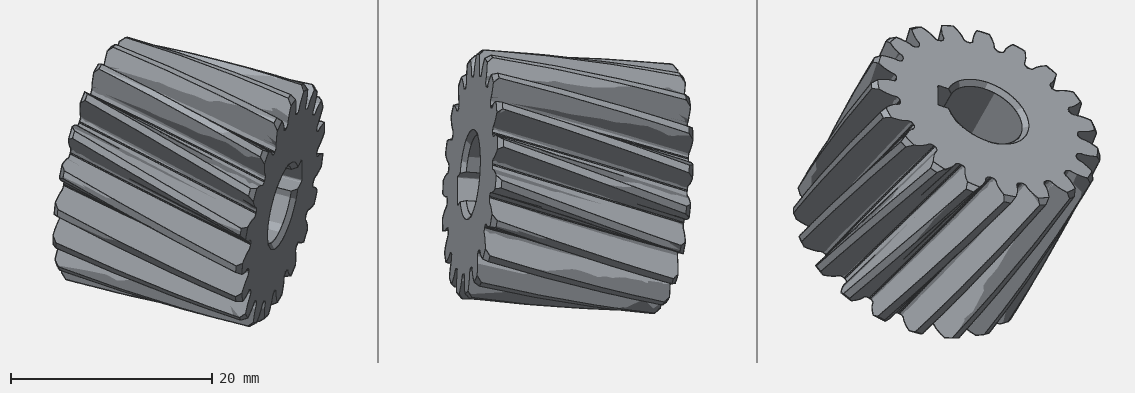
import cadquery as cq
import math

face_width = 20.0
tooth_count = 19
tip_radius = 12.475
base_radius = 10.36
root_radius = 9.9
root_land_width = 0.13
pitch_radius = 11.4
twist_angle = 25.9
tooth_phase = -7.0
tip_chamfer = 0.5

bore_radius = 4.0
bore_chamfer = 0.5
keyway_width = 3.0
keyway_reach = 5.4
keyway_corner_radius = 0.2

flank_steps = 4

pitch_angle = 360.0 / tooth_count
tooth_angle_at_pitch = pitch_angle / 2
half_land_angle = math.degrees(root_land_width / root_radius) / 2


def involute(radius):
    """Involute polar angle, in degrees, at a radius on or above the base circle."""
    pressure_angle = math.acos(base_radius / radius)
    return math.degrees(math.tan(pressure_angle) - pressure_angle)


def half_tooth_angle(radius):
    """Half of the angle that a tooth spans at a radius."""
    return tooth_angle_at_pitch / 2 + involute(pitch_radius) - involute(radius)


def polar(radius, angle):
    """Point at a polar position in the YZ plane."""
    return (radius * math.cos(math.radians(angle)), radius * math.sin(math.radians(angle)))


def flank(tooth_centre, side):
    """Points up one involute flank; side is -1 or +1."""
    roll_step = math.sqrt(tip_radius**2 - base_radius**2) / flank_steps
    radii = [math.hypot(base_radius, roll_step * step) for step in range(flank_steps + 1)]
    return [polar(radius, tooth_centre + side * half_tooth_angle(radius)) for radius in radii]


def root_land_end(space_centre, side):
    """End of the root land where a fillet begins; side is -1 or +1."""
    return polar(root_radius, space_centre + side * half_land_angle)


def root_fillet_middle(space_centre, side):
    """Middle of the fillet arc that leaves the root land tangentially and meets the flank foot."""
    land_angle = space_centre + side * half_land_angle
    foot_turn = math.radians(pitch_angle / 2 - half_tooth_angle(base_radius) - half_land_angle)
    across = base_radius * math.sin(foot_turn)
    rise = base_radius * math.cos(foot_turn) - root_radius
    fillet_radius = (across**2 + rise**2) / (2 * rise)
    half_sweep = math.atan2(across, fillet_radius - rise) / 2
    middle_across = fillet_radius * math.sin(half_sweep)
    middle_height = root_radius + fillet_radius * (1 - math.cos(half_sweep))
    middle_turn = math.degrees(math.atan2(middle_across, middle_height))
    return polar(math.hypot(middle_across, middle_height), land_angle + side * middle_turn)


def tooth_profile():
    """Closed outline of all the teeth on the -X face."""
    outline = cq.Workplane("YZ").moveTo(*flank(tooth_phase, -1)[0])
    for tooth in range(tooth_count):
        centre = tooth_phase + tooth * pitch_angle
        space_centre = centre + pitch_angle / 2
        rising = flank(centre, -1)
        falling = flank(centre, 1)[::-1]
        next_tooth_start = flank(centre + pitch_angle, -1)[0]
        outline = (
            outline.spline(rising[1:], includeCurrent=True)
            .threePointArc(polar(tip_radius, centre), falling[0])
            .spline(falling[1:], includeCurrent=True)
            .threePointArc(root_fillet_middle(space_centre, -1), root_land_end(space_centre, -1))
            .threePointArc(polar(root_radius, space_centre), root_land_end(space_centre, 1))
            .threePointArc(root_fillet_middle(space_centre, 1), next_tooth_start)
        )
    return outline.close()


def chamfered_blank():
    """Cylinder that trims the tooth tips with a chamfer at both ends."""
    return cq.Workplane("YZ").circle(tip_radius).extrude(face_width).edges().chamfer(tip_chamfer)


def bore():
    """Through bore with a chamfer at both ends."""
    mouth_radius = bore_radius + bore_chamfer
    return (
        cq.Workplane("XY")
        .polyline([
            (0, 0),
            (0, mouth_radius),
            (bore_chamfer, bore_radius),
            (face_width - bore_chamfer, bore_radius),
            (face_width, mouth_radius),
            (face_width, 0),
        ])
        .close()
        .revolve(360, (0, 0, 0), (1, 0, 0))
    )


def keyway():
    """Keyway on the +Y side of the bore, with rounded floor corners."""
    return (
        cq.Workplane("YZ")
        .center(keyway_reach / 2, 0)
        .rect(keyway_reach, keyway_width)
        .extrude(face_width)
        .edges("|X and >Y")
        .fillet(keyway_corner_radius)
    )


teeth = tooth_profile().twistExtrude(face_width, twist_angle)
result = teeth.intersect(chamfered_blank()).cut(bore()).cut(keyway())